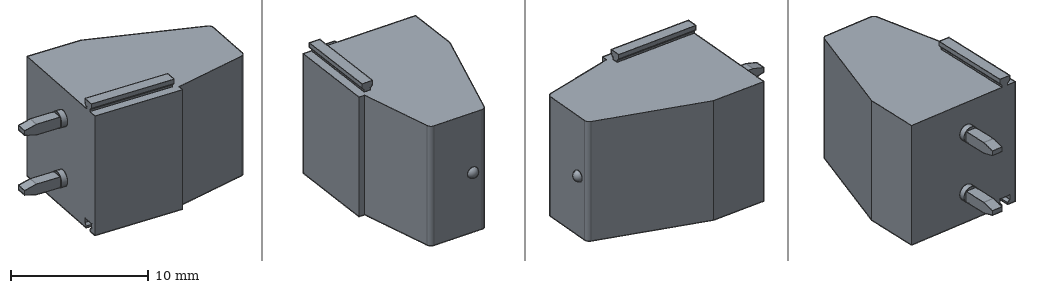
import cadquery as cq


total_depth = 17.7

pole_pitch = 5.08
pole_count = 2
body_width = 9.8
body_depth = 13.8
body_height = pole_pitch * pole_count
left_wall_depth = 4.57
right_wall_depth = 7.4
right_step_width = 0.5
back_left_x = 3.01
back_right_x = 7.8
back_corner_radius = 0.4

rail_center_x = 8.81
rail_width = 0.92
rail_neck_width = 0.53
rail_height = 0.75
rail_neck_height = 0.16
rail_flare_height = 0.21
rail_length = 7.0

pin_x = 5.2
collar_diameter = 1.31
collar_length = 0.5
pin_size = 0.9
pin_length = 3.5
pin_taper_start = 2.51
pin_tip_thickness = 0.39

button_x = 4.09
button_diameter = 0.94
button_height = total_depth - pin_length - body_depth


def make_body():
    body = (
        cq.Workplane("XY")
        .polyline([
            (0, 0),
            (body_width, 0),
            (body_width, right_wall_depth),
            (body_width - right_step_width, right_wall_depth),
            (back_right_x, body_depth),
            (back_left_x, body_depth),
            (0, left_wall_depth),
        ])
        .close()
        .extrude(body_height)
    )
    return body.faces(">Y").edges("|Z").fillet(back_corner_radius)


def make_rail(base_z):
    """Flared bar, narrow side at base_z, that runs back from the pin face."""
    half_neck = rail_neck_width / 2
    half_width = rail_width / 2
    flare_top = rail_neck_height + rail_flare_height
    return (
        cq.Workplane("XZ", origin=(rail_center_x, 0, base_z))
        .polyline([
            (-half_neck, 0),
            (half_neck, 0),
            (half_neck, rail_neck_height),
            (half_width, flare_top),
            (half_width, rail_height),
            (-half_width, rail_height),
            (-half_width, flare_top),
            (-half_neck, rail_neck_height),
        ])
        .close()
        .extrude(-rail_length)
    )


def make_pin(center_z):
    """Round collar with a square pin that tapers to a chisel tip."""
    collar = (
        cq.Workplane("XZ", origin=(pin_x, 0, center_z))
        .circle(collar_diameter / 2)
        .extrude(collar_length)
    )
    half_size = pin_size / 2
    half_tip = pin_tip_thickness / 2
    blade = (
        cq.Workplane("YZ", origin=(pin_x, 0, center_z))
        .polyline([
            (0, -half_size),
            (-pin_taper_start, -half_size),
            (-pin_length, -half_tip),
            (-pin_length, half_tip),
            (-pin_taper_start, half_size),
            (0, half_size),
        ])
        .close()
        .extrude(half_size, both=True)
    )
    return collar.union(blade)


def make_button():
    """Sphere sunk into the back face so that only its cap stands out."""
    radius = button_diameter / 2
    cap_radius = (radius**2 + button_height**2) / (2 * button_height)
    center_y = body_depth + button_height - cap_radius
    return cq.Workplane("XY", origin=(button_x, center_y, body_height / 2)).sphere(cap_radius)


groove = make_rail(0)
rail = make_rail(body_height)

result = make_body().cut(groove).union(rail).union(make_button())
for pole in range(pole_count):
    result = result.union(make_pin(pole_pitch * (pole + 0.5)))